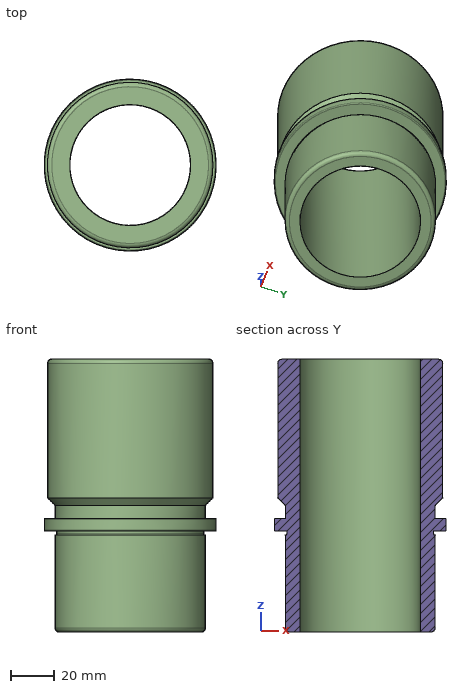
import cadquery as cq
import math

total_height = 127.0
bore_diameter = 56.0
head_diameter = 77.0
body_diameter = 70.0
end_fillet = 2.0

collar_diameter = 80.0
collar_bottom = 47.0
collar_thickness = 6.0
collar_edge_fillet = 0.5
groove_depth = 0.8
groove_bottom = 45.1

cone_top = 62.5
cone_height = (head_diameter - body_diameter) / 2


def cylinder(diameter, bottom, top):
    """Solid cylinder on the Z axis between two heights."""
    return cq.Workplane("XY").workplane(offset=bottom).circle(diameter / 2).extrude(top - bottom)


body = cylinder(body_diameter, 0, cone_top).faces("<Z").edges().fillet(end_fillet)

head = (
    cylinder(head_diameter, cone_top - cone_height, total_height)
    .faces("<Z").edges().chamfer(cone_height)
    .faces(">Z").edges().fillet(end_fillet)
)

body_radius = body_diameter / 2
floor_radius = body_radius - groove_depth
fillet_offset = groove_depth * math.sqrt(0.5)
groove = (
    cq.Workplane("XZ")
    .moveTo(body_radius, groove_bottom)
    .threePointArc(
        (body_radius - fillet_offset, groove_bottom + groove_depth - fillet_offset),
        (floor_radius, groove_bottom + groove_depth),
    )
    .lineTo(floor_radius, collar_bottom)
    .lineTo(body_radius, collar_bottom)
    .close()
    .revolve(360, (0, 0), (0, 1))
)

collar = (
    cylinder(collar_diameter, collar_bottom, collar_bottom + collar_thickness)
    .edges().fillet(collar_edge_fillet)
)

bore = cylinder(bore_diameter, 0, total_height)

result = body.union(head).cut(groove).union(collar).cut(bore)